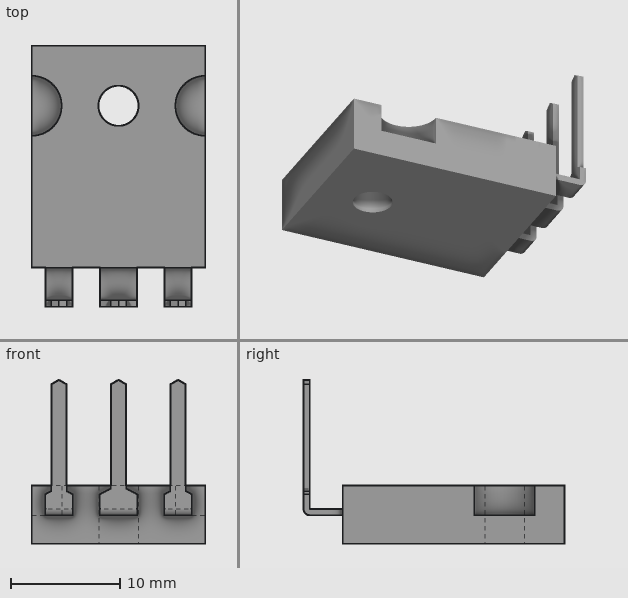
import cadquery as cq
import math

HOUSING_WIDTH = 15.9
HOUSING_LENGTH = 20.3
HOUSING_HEIGHT = 5.34

HOLE_DIAMETER = 3.65
HOLE_FROM_BACK = 5.5
HOLE_Y = HOUSING_LENGTH - HOLE_FROM_BACK
NOTCH_RADIUS = 2.75
NOTCH_DEPTH = 2.75

LEAD_PITCH = 5.45
LEAD_THICKNESS = 0.6
LEAD_REACH = 3.6
LEAD_BOTTOM_Z = 2.6
LEAD_TOP_Z = 15.0
SHOULDER_Z = 4.53
SHOULDER_ANGLE = 27.5
TIP_ANGLE = 30.0
PIN_WIDTH = 1.4
OUTER_FOOT_WIDTH = 2.5
MIDDLE_FOOT_WIDTH = 3.4


def make_housing():
    """Rectangular block with a through hole and a half-round notch in each long side."""
    block = cq.Workplane("XY").box(
        HOUSING_WIDTH, HOUSING_LENGTH, HOUSING_HEIGHT, centered=(True, False, False)
    )
    hole = cq.Workplane("XY").center(0, HOLE_Y).circle(HOLE_DIAMETER / 2).extrude(HOUSING_HEIGHT)
    notches = (
        cq.Workplane("XY", origin=(0, HOLE_Y, HOUSING_HEIGHT))
        .pushPoints([(-HOUSING_WIDTH / 2, 0), (HOUSING_WIDTH / 2, 0)])
        .circle(NOTCH_RADIUS)
        .extrude(-NOTCH_DEPTH)
    )
    return block.cut(hole).cut(notches)


def make_bent_strip(width):
    """L-shaped strip with a sharp inner corner and a bend radius equal to its thickness."""
    foot_top_z = LEAD_BOTTOM_Z + LEAD_THICKNESS
    inner_y = LEAD_THICKNESS - LEAD_REACH
    bend_offset = LEAD_THICKNESS * math.cos(math.pi / 4)
    return (
        cq.Workplane("YZ", origin=(-width / 2, 0, 0))
        .moveTo(0, LEAD_BOTTOM_Z)
        .lineTo(inner_y, LEAD_BOTTOM_Z)
        .threePointArc((inner_y - bend_offset, foot_top_z - bend_offset), (-LEAD_REACH, foot_top_z))
        .lineTo(-LEAD_REACH, LEAD_TOP_Z)
        .lineTo(inner_y, LEAD_TOP_Z)
        .lineTo(inner_y, foot_top_z)
        .lineTo(0, foot_top_z)
        .close()
        .extrude(width)
    )


def make_lead_silhouette(foot_width):
    """Front outline of a lead, wide at the foot and narrowing to a pointed pin, as a prism along Y."""
    half_foot = foot_width / 2
    half_pin = PIN_WIDTH / 2
    shoulder_rise = (half_foot - half_pin) * math.tan(math.radians(SHOULDER_ANGLE))
    tip_rise = half_pin * math.tan(math.radians(TIP_ANGLE))
    right_side = [
        (half_foot, LEAD_BOTTOM_Z),
        (half_foot, SHOULDER_Z),
        (half_pin, SHOULDER_Z + shoulder_rise),
        (half_pin, LEAD_TOP_Z - tip_rise),
    ]
    left_side = [(-x, z) for x, z in reversed(right_side)]
    outline = right_side + [(0, LEAD_TOP_Z)] + left_side
    return cq.Workplane("XZ").polyline(outline).close().extrude(LEAD_REACH)


def make_lead(foot_width, x):
    """Bent strip trimmed to the lead outline and moved to its place along X."""
    lead = make_bent_strip(foot_width).intersect(make_lead_silhouette(foot_width))
    return lead.translate((x, 0, 0))


housing = make_housing()
middle_lead = make_lead(MIDDLE_FOOT_WIDTH, 0)
outer_leads = [make_lead(OUTER_FOOT_WIDTH, side * LEAD_PITCH) for side in (-1, 1)]

result = cq.Compound.makeCompound(
    [housing.val(), middle_lead.val(), *[lead.val() for lead in outer_leads]]
)